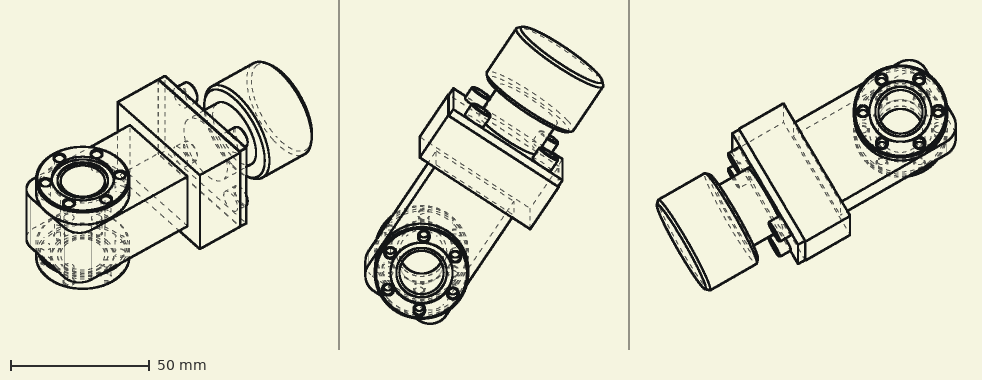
import cadquery as cq

total_length = 108.4
overall_height = 39.8

knob_diameter = 37.7
knob_length = 21.8
knob_chamfer = 1.2
neck_diameter = 25.3

housing_width = 47.8
housing_depth = 18.6
housing_height = 37.5
housing_front_y = 51.8
cover_width = 47.3
cover_depth = 2.9
cover_height = 38.1

screw_diameter = 8.1
screw_head_height = 4.9
screw_edge_chamfer = 0.3
screw_spacing_x = 29.2
screw_spacing_z = 29.8

arm_width = 33.6
arm_height = 25.1
arm_front_y = 0.7
arm_corner_radius = 6.9

flange_diameter = 33.8
flange_top_chamfer = 0.5
flange_base_chamfer = 0.7
bore_diameter = 15.9
recess_diameter = 22.4
knife_edge_diameter = 18.2
recess_depth = 1.4
knife_edge_depth = 0.8
inner_step_depth = 1.3

bolt_count = 6
bolt_circle_diameter = 27.1
bolt_hole_diameter = 3.7
bolt_hole_mouth_diameter = 4.3
bolt_hole_mouth_angle = 90

flange_thickness = (overall_height - arm_height) / 2
flange_center_y = flange_diameter / 2
housing_back_y = housing_front_y + housing_depth
cover_back_y = housing_back_y + cover_depth
knob_front_y = total_length - knob_length


def block(width, height, front_y, back_y):
    """Box centred on the Y axis between two Y positions."""
    depth = back_y - front_y
    return cq.Workplane("XY").box(width, depth, height).translate((0, front_y + depth / 2, 0))


def facing_back(y):
    """Workplane at the given Y whose normal points toward +Y."""
    return cq.Workplane("XZ", origin=(0, y, 0)).transformed(rotate=(180, 0, 0))


def make_arm():
    arm = block(arm_width, arm_height, arm_front_y, housing_front_y)
    return arm.edges("|Z and <Y").fillet(arm_corner_radius)


def make_screws():
    heads = (
        facing_back(cover_back_y)
        .rect(screw_spacing_x, screw_spacing_z, forConstruction=True)
        .vertices()
        .circle(screw_diameter / 2)
        .extrude(screw_head_height)
    )
    return heads.faces(">Y").edges().chamfer(screw_edge_chamfer)


def make_knob():
    neck = facing_back(cover_back_y).circle(neck_diameter / 2).extrude(knob_front_y - cover_back_y)
    knob = facing_back(knob_front_y).circle(knob_diameter / 2).extrude(knob_length)
    return neck.union(knob.faces("<Y or >Y").edges().chamfer(knob_chamfer))


def make_recess():
    """Sealing recess: its floor rises as a cone to a knife edge around the bore."""
    recess_radius = recess_diameter / 2
    knife_edge_radius = knife_edge_diameter / 2
    top = flange_thickness
    return (
        cq.Workplane("XZ")
        .moveTo(0, top)
        .lineTo(recess_radius, top)
        .lineTo(recess_radius, top - recess_depth)
        .lineTo(knife_edge_radius, top - knife_edge_depth)
        .lineTo(knife_edge_radius, top - inner_step_depth)
        .lineTo(0, top - inner_step_depth)
        .close()
        .revolve(360, (0, 0), (0, 1))
    )


def make_flange():
    """Flange standing on Z = 0 with its axis on Z."""
    flange = cq.Workplane("XY").circle(flange_diameter / 2).extrude(flange_thickness)
    flange = flange.faces(">Z").edges().chamfer(flange_top_chamfer)
    flange = flange.faces("<Z").edges().chamfer(flange_base_chamfer)
    flange = (
        flange.faces(">Z")
        .workplane()
        .polarArray(bolt_circle_diameter / 2, 0, 360, bolt_count)
        .cskHole(bolt_hole_diameter, bolt_hole_mouth_diameter, bolt_hole_mouth_angle)
    )
    return flange.cut(make_recess())


upper_flange = make_flange().translate((0, flange_center_y, arm_height / 2))
lower_flange = upper_flange.mirror("XY")
bore = (
    cq.Workplane("XY", origin=(0, flange_center_y, 0))
    .circle(bore_diameter / 2)
    .extrude(overall_height / 2, both=True)
)

result = (
    make_arm()
    .union(block(housing_width, housing_height, housing_front_y, housing_back_y))
    .union(block(cover_width, cover_height, housing_back_y, cover_back_y))
    .union(make_screws())
    .union(make_knob())
    .union(upper_flange)
    .union(lower_flange)
    .cut(bore)
)